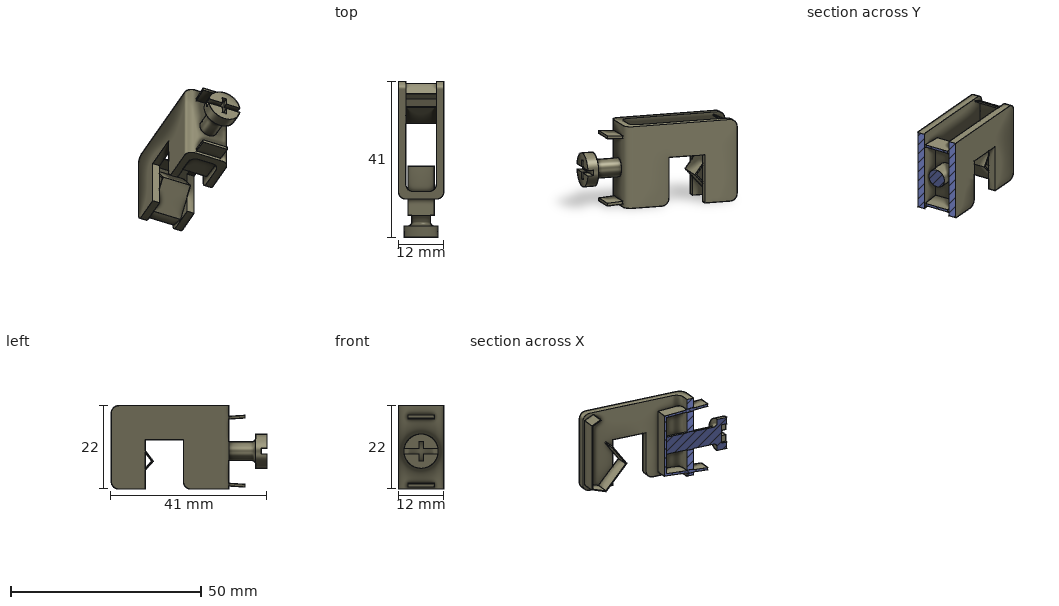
import cadquery as cq
import math

WIDTH = 12.0
DEPTH = 31.0
HEIGHT = 22.0
WALL = 2.0
CORNER_RADIUS = WALL
INNER_WIDTH = WIDTH - 2 * WALL
NOTCH_WIDTH = 10.0
NOTCH_HEIGHT = 13.0
REAR_LEG = 8.98
NOTCH_REAR = DEPTH - REAR_LEG
NOTCH_FRONT = NOTCH_REAR - NOTCH_WIDTH

SPRING_THICKNESS = 0.35
SPRING_BENDS = [(27.8, 21.5), (30.45, 20.2), (30.45, 1.85), (26.2, 0.45), (19.9, 7.35), (24.1, 12.9)]

CLAMP_WIDTH = 7.0
CLAMP_THICKNESS = 0.78
CLAMP_FRONT = -4.25
CLAMP_REAR = 8.75
ARM_ANGLE = 3.6
ARM_REACH = 9.47

SCREW_HEIGHT = 10.0
SHANK_DIAMETER = 5.0
HEAD_DIAMETER = 9.0
HEAD_LENGTH = 3.0
SCREW_FRONT = DEPTH - 41.0
HEAD_REAR = SCREW_FRONT + HEAD_LENGTH
SCREW_REAR = CLAMP_REAR - CLAMP_THICKNESS
NECK_RADIUS = 1.0
SLOT_WIDTH = 1.48
SLOT_DEPTH = 1.5
CROSS_WIDTH = 1.15
CROSS_LENGTH = 5.1


def box(x_size, y_start, y_end, z_start, z_end):
    """Box centred on X = 0."""
    size_y = y_end - y_start
    block = cq.Workplane("XY").box(x_size, size_y, z_end - z_start, centered=(True, False, False))
    return block.translate((0, y_start, z_start))


def side_prism(profile, width):
    """Extrude a closed (Y, Z) polygon along X, centred on X = 0."""
    return cq.Workplane("YZ").polyline(profile).close().extrude(width / 2, both=True)


def strip_outline(bends, thickness):
    """Outline of a bent strip of even thickness, lying to the right of the path through its bends."""
    normals = []
    for (y0, z0), (y1, z1) in zip(bends, bends[1:]):
        length = math.hypot(y1 - y0, z1 - z0)
        normals.append(((z1 - z0) / length, (y0 - y1) / length))
    inner = []
    for (y, z), before, after in zip(bends, normals[:1] + normals, normals + normals[-1:]):
        miter = thickness / (1 + before[0] * after[0] + before[1] * after[1])
        inner.append((y + miter * (before[0] + after[0]), z + miter * (before[1] + after[1])))
    return bends + inner[::-1]


def make_strap():
    strap = box(WIDTH, 0, DEPTH, 0, HEIGHT).edges("|Z and <Y").fillet(CORNER_RADIUS)
    cavity = box(INNER_WIDTH, WALL, DEPTH, 0, HEIGHT).edges("|Z and <Y").fillet(CORNER_RADIUS)
    strap = strap.cut(cavity)
    strap = strap.edges("|X and >Y").fillet(CORNER_RADIUS)
    strap = strap.cut(box(WIDTH, NOTCH_FRONT, NOTCH_REAR, 0, NOTCH_HEIGHT))
    notch_corner = cq.selectors.NearestToPointSelector((WIDTH / 2, NOTCH_FRONT, 0))
    other_notch_corner = cq.selectors.NearestToPointSelector((-WIDTH / 2, NOTCH_FRONT, 0))
    return strap.edges("|X").edges(notch_corner + other_notch_corner).fillet(CORNER_RADIUS)


def make_spring():
    return side_prism(strip_outline(SPRING_BENDS, SPRING_THICKNESS), INNER_WIDTH)


def make_clamp():
    rear_reach = ARM_REACH - (CLAMP_REAR - CLAMP_FRONT) * math.tan(math.radians(ARM_ANGLE))
    bends = [
        (CLAMP_FRONT, SCREW_HEIGHT + ARM_REACH),
        (CLAMP_REAR, SCREW_HEIGHT + rear_reach),
        (CLAMP_REAR, SCREW_HEIGHT - rear_reach),
        (CLAMP_FRONT, SCREW_HEIGHT - ARM_REACH),
    ]
    outline = strip_outline(bends, CLAMP_THICKNESS)
    outline[-1] = (CLAMP_FRONT, bends[0][1] - CLAMP_THICKNESS)
    outline[len(bends)] = (CLAMP_FRONT, bends[-1][1] + CLAMP_THICKNESS)
    return side_prism(outline, CLAMP_WIDTH)


def make_screw():
    shank = SHANK_DIAMETER / 2
    head = HEAD_DIAMETER / 2
    neck_bulge = NECK_RADIUS * (1 - math.sqrt(0.5))
    screw = (
        cq.Workplane("XY")
        .moveTo(0, SCREW_FRONT)
        .lineTo(head, SCREW_FRONT)
        .lineTo(head, HEAD_REAR)
        .lineTo(shank + NECK_RADIUS, HEAD_REAR)
        .threePointArc((shank + neck_bulge, HEAD_REAR + neck_bulge), (shank, HEAD_REAR + NECK_RADIUS))
        .lineTo(shank, SCREW_REAR)
        .lineTo(0, SCREW_REAR)
        .close()
        .revolve(360, (0, 0, 0), (0, 1, 0))
        .translate((0, 0, SCREW_HEIGHT))
    )
    for width, height in ((HEAD_DIAMETER, SLOT_WIDTH), (CROSS_WIDTH, CROSS_LENGTH)):
        z_start = SCREW_HEIGHT - height / 2
        screw = screw.cut(box(width, SCREW_FRONT, SCREW_FRONT + SLOT_DEPTH, z_start, z_start + height))
    return screw


clamp = make_clamp()
screw = make_screw()
housing = make_strap().union(make_spring()).cut(clamp).cut(screw)

result = cq.Compound.makeCompound([housing.val(), clamp.val(), screw.val()])